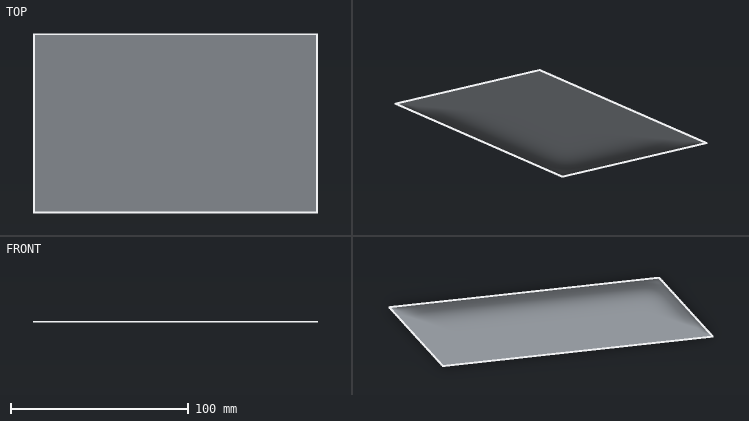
import cadquery as cq

length = 160.0
width = 101.0
thickness = 0.05

result = cq.Workplane("XY").box(length, width, thickness)